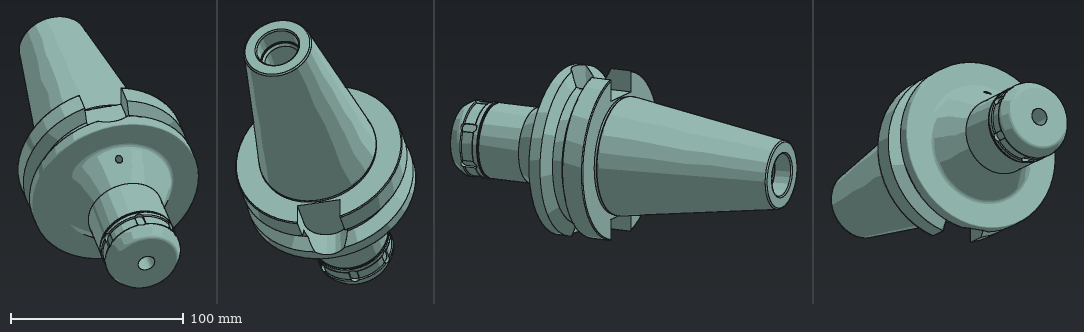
import cadquery as cq
import math


gauge_radius = 69.85 / 2
taper_length = 101.8
taper_ratio = 7 / 24
shank_end_chamfer = 0.8
gauge_land_start = -0.4
gauge_land_end = 1.0
relief_radius = 68.9 / 2
relief_step_length = 0.6

flange_start = 3.0
flange_end = 38.0
flange_radius = 50.0
rear_flange_radius = 49.7
flange_chamfer = 0.6
flange_fillet = 1.0
groove_start = 15.8
groove_end = 30.4
groove_floor_radius = 42.5
groove_slope = math.radians(60)

slot_width = 25.4
slot_end = 33.9
slot_floor_height = 35.3

neck_radius = 44.5 / 2
neck_start = 58.4
shoulder_slope = math.radians(30)
shoulder_fillet = 4.0
neck_end = 84.3
neck_chamfer = 0.6

nut_end = 105.0
nut_radius = 45 / 2
nut_start = 85.5
nut_waist_radius = 43.6 / 2
nut_waist_start = 88.3
nut_waist_end = 96.3
waist_wall_run = 0.6
nut_cone_start = 98.5
nut_cone_slope = math.radians(30)
nut_fillet = 3.0

notch_count = 6
notch_length = 10.2
notch_width = 5.0
notch_floor_radius = 20.4
notch_center = 92.1

through_radius = 10 / 2
mouth_radius = 26.6 / 2
pilot_radius = 25 / 2
pilot_depth = 11.0
thread_radius = 24 / 2
thread_entry_length = 1.0
thread_core_radius = 21.3 / 2
thread_depth = 60.0
drill_point_half_angle = math.radians(59)

shoulder_hole_x = 44.8
shoulder_hole_diameter = 4.0
shoulder_hole_depth = 4.0
shoulder_core_diameter = 3.4
shoulder_core_depth = 6.0


def shoulder_radius(x):
    """Radius of the conical shoulder at position x."""
    return neck_radius + (neck_start - x) * math.tan(shoulder_slope)


def round_corner(path, corner, angle_in, angle_out, radius):
    """Draw a line to a corner and round it with a tangent arc.

    The angles are the directions of travel before and after the corner.
    """
    x, y = corner
    half_turn = (angle_out - angle_in) / 2
    tangent = radius * abs(math.tan(half_turn))
    start = (x - tangent * math.cos(angle_in), y - tangent * math.sin(angle_in))
    end = (x + tangent * math.cos(angle_out), y + tangent * math.sin(angle_out))
    bisector = (angle_in + angle_out) / 2 + math.copysign(math.pi / 2, half_turn)
    gap = radius / math.cos(half_turn) - radius
    middle = (x + gap * math.cos(bisector), y + gap * math.sin(bisector))
    return path.lineTo(*start).threePointArc(middle, end)


def make_body():
    """Solid of revolution: shank, flange, shoulder, neck and nut."""
    along, inward = 0, -math.pi / 2

    shank_start = -taper_length
    shank_end_radius = gauge_radius - (taper_length + gauge_land_start) * taper_ratio / 2
    chamfer_end_radius = shank_end_radius + shank_end_chamfer * taper_ratio / 2
    path = (
        cq.Workplane("XY")
        .moveTo(shank_start, 0)
        .lineTo(shank_start, shank_end_radius - shank_end_chamfer)
        .lineTo(shank_start + shank_end_chamfer, chamfer_end_radius)
        .lineTo(gauge_land_start, gauge_radius)
        .lineTo(gauge_land_end, gauge_radius)
        .lineTo(gauge_land_end + relief_step_length, relief_radius)
        .lineTo(flange_start, relief_radius)
    )

    rear_run = (rear_flange_radius - groove_floor_radius) / math.tan(groove_slope)
    front_run = (flange_radius - groove_floor_radius) / math.tan(groove_slope)
    path = (
        path.lineTo(flange_start, rear_flange_radius - flange_chamfer)
        .lineTo(flange_start + flange_chamfer, rear_flange_radius)
        .lineTo(groove_start, rear_flange_radius)
        .lineTo(groove_start + rear_run, groove_floor_radius)
        .lineTo(groove_end - front_run, groove_floor_radius)
        .lineTo(groove_end, flange_radius)
    )
    path = round_corner(path, (flange_end, flange_radius), along, inward, flange_fillet)

    shoulder_corner = (flange_end, shoulder_radius(flange_end))
    path = round_corner(path, shoulder_corner, inward, -shoulder_slope, shoulder_fillet)
    path = (
        path.lineTo(neck_start, neck_radius)
        .lineTo(neck_end, neck_radius)
        .lineTo(neck_end + neck_chamfer, neck_radius - neck_chamfer)
        .lineTo(nut_start, neck_radius - neck_chamfer)
    )

    path = (
        path.lineTo(nut_start, nut_radius)
        .lineTo(nut_waist_start, nut_radius)
        .lineTo(nut_waist_start + waist_wall_run, nut_waist_radius)
        .lineTo(nut_waist_end - waist_wall_run, nut_waist_radius)
        .lineTo(nut_waist_end, nut_radius)
    )
    nose_radius = nut_radius - (nut_end - nut_cone_start) * math.tan(nut_cone_slope)
    path = round_corner(path, (nut_cone_start, nut_radius), along, -nut_cone_slope, nut_fillet)
    path = round_corner(path, (nut_end, nose_radius), -nut_cone_slope, inward, nut_fillet)
    path = path.lineTo(nut_end, 0).close()
    return path.revolve(360, (0, 0, 0), (1, 0, 0))


def make_bore():
    """Stepped bore from the shank end, narrowing to the through hole."""
    start = -taper_length
    mouth_chamfer = mouth_radius - pilot_radius
    pilot_end = start + pilot_depth
    entry_end = pilot_end + thread_entry_length
    core_start = entry_end + thread_radius - thread_core_radius
    core_end = start + thread_depth
    point_length = (thread_core_radius - through_radius) / math.tan(drill_point_half_angle)
    profile = (
        cq.Workplane("XY")
        .moveTo(start, 0)
        .lineTo(start, mouth_radius)
        .lineTo(start + mouth_chamfer, pilot_radius)
        .lineTo(pilot_end, pilot_radius)
        .lineTo(pilot_end, thread_radius)
        .lineTo(entry_end, thread_radius)
        .lineTo(core_start, thread_core_radius)
        .lineTo(core_end, thread_core_radius)
        .lineTo(core_end + point_length, through_radius)
        .lineTo(nut_end, through_radius)
        .lineTo(nut_end, 0)
        .close()
    )
    return profile.revolve(360, (0, 0, 0), (1, 0, 0))


def make_drive_slot():
    """Round-ended slot on the +Z side, open toward the shank."""
    end_radius = slot_width / 2
    end_center = slot_end - end_radius
    return (
        cq.Workplane("XY", origin=(0, 0, slot_floor_height))
        .moveTo(0, -end_radius)
        .lineTo(end_center, -end_radius)
        .threePointArc((slot_end, 0), (end_center, end_radius))
        .lineTo(0, end_radius)
        .close()
        .extrude(flange_radius - slot_floor_height)
    )


def make_notch():
    """Flat-bottomed spanner notch on the +Z side of the nut."""
    return (
        cq.Workplane("XY", origin=(notch_center, 0, notch_floor_radius))
        .slot2D(notch_length, notch_width)
        .extrude(nut_radius - notch_floor_radius)
    )


def make_shoulder_hole():
    """Stepped blind hole, square to the axis, entering the shoulder from +Z."""
    surface = shoulder_radius(shoulder_hole_x)
    floor = surface - shoulder_hole_depth
    core_floor = surface - shoulder_core_depth
    hole = (
        cq.Workplane("XY", origin=(shoulder_hole_x, 0, floor))
        .circle(shoulder_hole_diameter / 2)
        .extrude(flange_radius - floor)
    )
    core = (
        cq.Workplane("XY", origin=(shoulder_hole_x, 0, core_floor))
        .circle(shoulder_core_diameter / 2)
        .extrude(floor - core_floor)
    )
    return hole.union(core)


def turned(shape, angle):
    """Copy of the shape turned about the part axis."""
    return shape.rotate((0, 0, 0), (1, 0, 0), angle)


result = make_body().cut(make_bore()).cut(make_shoulder_hole())

for angle in (0, 180):
    result = result.cut(turned(make_drive_slot(), angle))

for index in range(notch_count):
    result = result.cut(turned(make_notch(), index * 360 / notch_count))